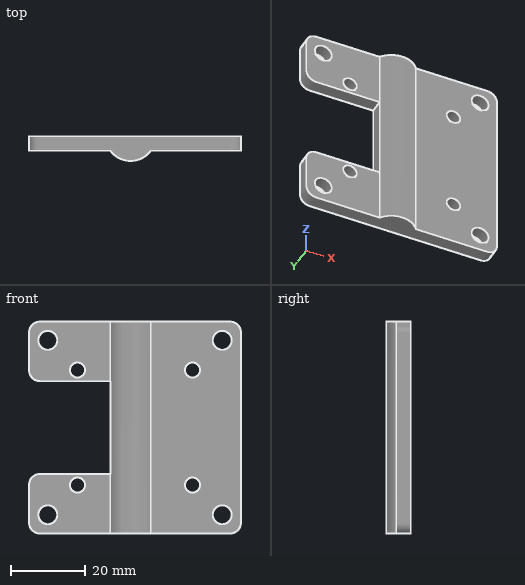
import cadquery as cq

side = 57.25
thickness = 4.0
corner_radius = 3.05

rib_left = -6.65
rib_width = 10.9
rib_height = 2.75

notch_height = 24.95

corner_hole_diameter = 5.05
corner_hole_spacing = 47.05
inner_hole_diameter = 4.0
inner_hole_spacing = 31.05

left = -side / 2
right = side / 2
top = side / 2
notch_top = notch_height / 2
front_face = -thickness


def make_plate():
    """C-shaped plate with its six outer corners rounded."""
    outline = [
        (left, -top),
        (right, -top),
        (right, top),
        (left, top),
        (left, notch_top),
        (rib_left, notch_top),
        (rib_left, -notch_top),
        (left, -notch_top),
    ]
    plate = cq.Workplane("XZ").polyline(outline).close().extrude(thickness)
    outer_corners = plate.edges("|Y and (<X or >X)")
    return outer_corners.fillet(corner_radius)


def make_rib():
    """Circular-segment rib on the front face, embedded to the back of the plate."""
    rib_right = rib_left + rib_width
    crest = (rib_left + rib_width / 2, front_face - rib_height)
    return (
        cq.Workplane("XY", origin=(0, 0, -top))
        .moveTo(rib_left, 0)
        .lineTo(rib_left, front_face)
        .threePointArc(crest, (rib_right, front_face))
        .lineTo(rib_right, 0)
        .close()
        .extrude(side)
    )


def make_hole_pattern(diameter, spacing):
    """Four through-hole cylinders on the corners of a centred square."""
    return (
        cq.Workplane("XZ")
        .rarray(spacing, spacing, 2, 2)
        .circle(diameter / 2)
        .extrude(thickness)
    )


result = (
    make_plate()
    .union(make_rib())
    .cut(make_hole_pattern(corner_hole_diameter, corner_hole_spacing))
    .cut(make_hole_pattern(inner_hole_diameter, inner_hole_spacing))
)